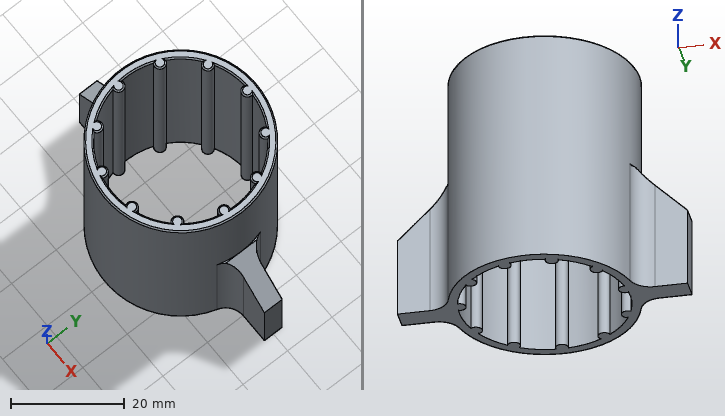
import cadquery as cq
import math

height = 45.0
outer_radius = 34.0 / 2
inner_radius = 30.6 / 2
rim_chamfer = 0.3

rod_count = 11
rod_radius = 1.15
rod_circle_radius = 15.0

span = 52.0
wing_thickness = 4.0
wing_tip_height = 15.0
wing_root_height = 23.95
root_fillet = 4.0


def make_sleeve():
    """Tube with rods on its bore, all chamfered at the top."""
    tube = (
        cq.Workplane("XY")
        .circle(outer_radius)
        .circle(inner_radius)
        .extrude(height)
        .faces(">Z")
        .edges()
        .chamfer(rim_chamfer)
    )
    rods = (
        cq.Workplane("XY")
        .polarArray(rod_circle_radius, 90, 360, rod_count)
        .circle(rod_radius)
        .extrude(height)
        .faces(">Z")
        .edges()
        .chamfer(rim_chamfer)
    )
    return tube.union(rods)


def make_wings():
    """Both wings, blended into the tube wall and sloped down to their tips."""
    half_span = span / 2
    half_thickness = wing_thickness / 2

    center_y = half_thickness + root_fillet
    center_distance = outer_radius + root_fillet
    center_x = math.sqrt(center_distance**2 - center_y**2)
    contact_x = center_x * outer_radius / center_distance
    contact_y = center_y * outer_radius / center_distance

    flank_angle = math.radians(-90)
    tube_angle = math.atan2(-center_y, -center_x)
    middle_angle = (flank_angle + tube_angle) / 2
    middle_x = center_x + root_fillet * math.cos(middle_angle)
    middle_y = center_y + root_fillet * math.sin(middle_angle)

    wall_middle = (inner_radius + outer_radius) / 2
    buried_x = math.sqrt(wall_middle**2 - contact_y**2)
    plan = (
        cq.Workplane("XY")
        .moveTo(half_span, -half_thickness)
        .lineTo(half_span, half_thickness)
        .lineTo(center_x, half_thickness)
        .threePointArc((middle_x, middle_y), (contact_x, contact_y))
        .lineTo(buried_x, contact_y)
        .threePointArc((wall_middle, 0), (buried_x, -contact_y))
        .lineTo(contact_x, -contact_y)
        .threePointArc((middle_x, -middle_y), (center_x, -half_thickness))
        .close()
        .extrude(wing_root_height)
    )

    side = (
        cq.Workplane("XZ")
        .moveTo(0, 0)
        .lineTo(half_span, 0)
        .lineTo(half_span, wing_tip_height)
        .lineTo(outer_radius, wing_root_height)
        .lineTo(0, wing_root_height)
        .close()
        .extrude(outer_radius, both=True)
    )
    wing = plan.intersect(side)
    return wing.union(wing.mirror("YZ"))


result = make_sleeve().union(make_wings())